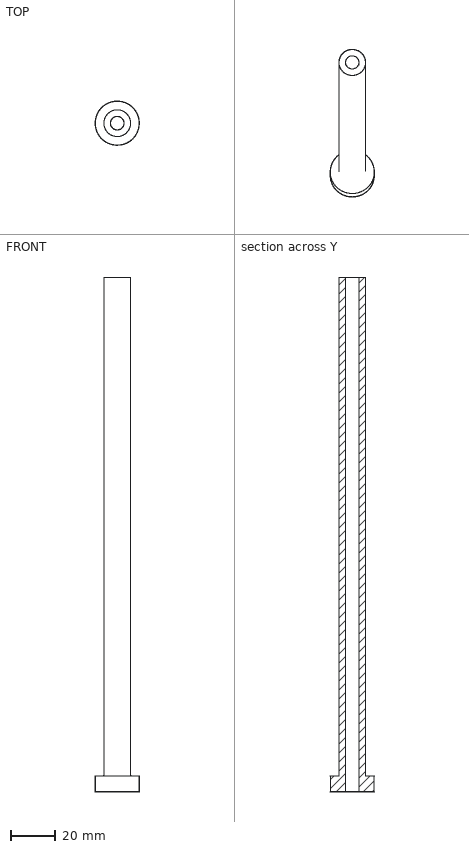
import cadquery as cq

total_length = 232.0
head_diameter = 20.0
head_height = 7.2
shaft_diameter = 12.0
bore_diameter = 6.0
neck_fillet = 0.5

head_radius = head_diameter / 2
shaft_radius = shaft_diameter / 2
bore_radius = bore_diameter / 2

half_section = (
    cq.Workplane("XZ")
    .moveTo(bore_radius, 0)
    .lineTo(head_radius, 0)
    .lineTo(head_radius, head_height)
    .lineTo(shaft_radius + neck_fillet, head_height)
    .radiusArc((shaft_radius, head_height + neck_fillet), neck_fillet)
    .lineTo(shaft_radius, total_length)
    .lineTo(bore_radius, total_length)
    .close()
)

result = half_section.revolve(360, (0, 0, 0), (0, 1, 0))